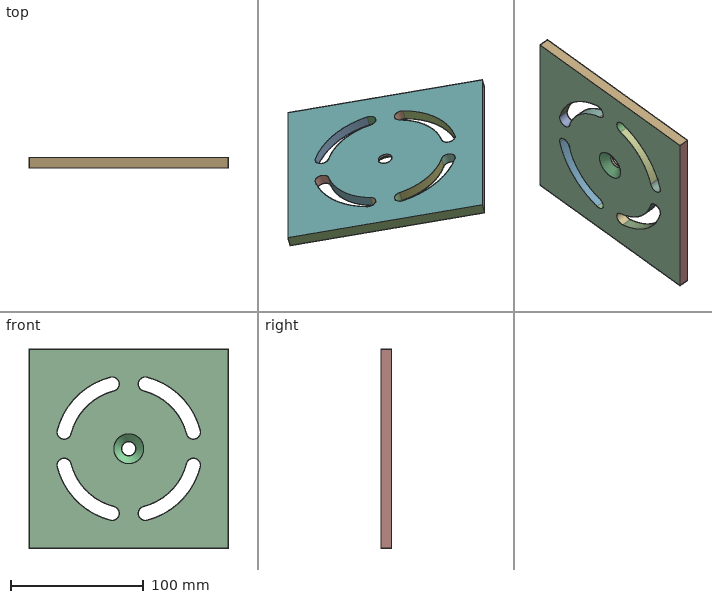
import cadquery as cq
import math

plate_side = 150.0
plate_thickness = 8.0
front_y = -plate_thickness / 2

slot_count = 4
slot_inner_radius = 45.0
slot_width = 10.5
slot_end_offset = 12.5
slot_outer_radius = slot_inner_radius + slot_width
slot_centre_radius = slot_inner_radius + slot_width / 2
slot_pitch_deg = 360.0 / slot_count
slot_sweep_deg = slot_pitch_deg - 2 * math.degrees(math.asin(slot_end_offset / slot_centre_radius))

hole_diameter = 10.5
countersink_diameter = 22.5
countersink_angle_deg = 90.0


def polar_point(radius, angle_deg):
    angle = math.radians(angle_deg)
    return (radius * math.cos(angle), radius * math.sin(angle))


def front_plane():
    """Sketch plane on the -Y face: local x is X, local y is Z, normal points to -Y."""
    return cq.Workplane("XZ", origin=(0, front_y, 0))


def make_plate():
    return cq.Workplane("XY").box(plate_side, plate_thickness, plate_side)


def slot_end_tip(end_deg, outward_deg):
    """Tip of the semicircular slot end, half a width beyond its centre."""
    centre_x, centre_z = polar_point(slot_centre_radius, end_deg)
    reach_x, reach_z = polar_point(slot_width / 2, outward_deg)
    return (centre_x + reach_x, centre_z + reach_z)


def make_slot(middle_deg):
    """Solid filling one arc slot whose middle lies at the given angle."""
    start_deg = middle_deg - slot_sweep_deg / 2
    end_deg = middle_deg + slot_sweep_deg / 2
    outer_start = polar_point(slot_outer_radius, start_deg)
    outer_middle = polar_point(slot_outer_radius, middle_deg)
    outer_end = polar_point(slot_outer_radius, end_deg)
    inner_start = polar_point(slot_inner_radius, start_deg)
    inner_middle = polar_point(slot_inner_radius, middle_deg)
    inner_end = polar_point(slot_inner_radius, end_deg)
    return (
        front_plane()
        .moveTo(*outer_start)
        .threePointArc(outer_middle, outer_end)
        .threePointArc(slot_end_tip(end_deg, end_deg + 90), inner_end)
        .threePointArc(inner_middle, inner_start)
        .threePointArc(slot_end_tip(start_deg, start_deg - 90), outer_start)
        .close()
        .extrude(-plate_thickness)
    )


def cut_slots(plate):
    for index in range(slot_count):
        middle_deg = slot_pitch_deg * (index + 0.5)
        plate = plate.cut(make_slot(middle_deg))
    return plate


def cut_countersunk_hole(plate):
    front_face = plate.faces("<Y").workplane(origin=(0, front_y, 0))
    return front_face.cskHole(hole_diameter, countersink_diameter, countersink_angle_deg)


plate = make_plate()
plate = cut_slots(plate)
result = cut_countersunk_hole(plate)